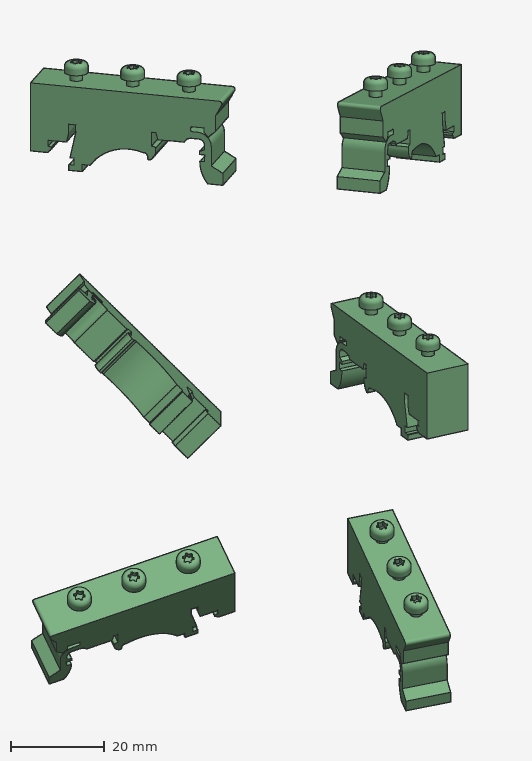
import cadquery as cq
import math

length = 42.75
width = 10.0
total_height = 22.9
block_height = 18.95

screw_count = 3
first_screw_x = 8.7
screw_pitch = 12.53
shank_diameter = 2.75
head_diameter = 5.15
head_gap = 1.65
head_rim_height = 1.2

lobe_count = 6
lobe_tip_radius = 1.25
lobe_shoulder_radius = 1.2
lobe_valley_radius = 0.9
lobe_half_angle = 9.0
recess_depth = 1.2

slot_roof_z = 10.45
notch_top_z = 2.85
underside_z = 8.9

lever_thickness = 1.55
lever_outer_x = 40.2
lever_top_z = 11.45
lever_inner_x = lever_outer_x - lever_thickness
lever_under_z = lever_top_z - lever_thickness
bend_outer_radius = 3.0
bend_inner_radius = 1.25

stop_x = 38.5


def polar(radius, degrees, center=(0, 0)):
    """Point at the given radius and angle around a center."""
    angle = math.radians(degrees)
    return (center[0] + radius * math.cos(angle), center[1] + radius * math.sin(angle))


def line_through(path, points):
    """Extend the path with straight lines through the points."""
    for x, z in points:
        path = path.lineTo(x, z)
    return path


def left_hook(path):
    """Left wall, and the fixed hook at its foot that faces the rail recess."""
    base_z = 3.55
    recess_x = 3.95
    recess_roof_z = 6.33
    nose_x = 4.65
    nose_bevel = 0.85
    nose_top_z = 4.87
    nose_slope = 0.15
    return line_through(path, [
        (0, base_z),
        (nose_x - nose_bevel, base_z),
        (nose_x, base_z + nose_bevel),
        (nose_x, nose_top_z),
        (recess_x, nose_top_z + nose_slope),
        (recess_x, recess_roof_z),
        (8.0, recess_roof_z),
    ])


def slanted_slot(path):
    """Slot between the hook and the middle web, leaning left towards its mouth."""
    left_x = 8.5
    right_x = 10.05
    return line_through(path, [
        (left_x, 8.42),
        (left_x, slot_roof_z),
        (right_x, slot_roof_z),
        (right_x, 8.7),
        (8.75, notch_top_z),
    ])


def web_foot(path):
    """Notched foot of the middle web, resting on Z = 0."""
    notch_x = 9.65
    toe_x = 8.5
    toe_height = 1.33
    toe_bevel = 0.13
    heel_x = 11.5
    step_z = 1.62
    return line_through(path, [
        (notch_x, notch_top_z),
        (notch_x, toe_height),
        (toe_x + toe_bevel, toe_height),
        (toe_x, toe_height - toe_bevel),
        (toe_x, 0),
        (heel_x, 0),
        (heel_x, step_z),
        (13.25, step_z),
    ])


def arch(path):
    """Shallow circular arch under the middle web."""
    radius = 10.47
    crown_x = 21.9
    crown_z = 6.1
    center = (crown_x, crown_z - radius)
    start_angle = 142.6
    end_angle = 72.5
    start = polar(radius, start_angle, center)
    middle = polar(radius, (start_angle + end_angle) / 2, center)
    end = polar(radius, end_angle, center)
    return path.lineTo(*start).threePointArc(middle, end)


def hanging_latch(path):
    """Rounded latch hanging from the right end of the arch."""
    neck_x = 26.05
    tip_z = 4.15
    nose_x = 27.85
    root_x = 26.95
    path = path.lineTo(25.4, 5.65)
    path = path.threePointArc((25.8, 5.35), (neck_x, 4.87))
    path = path.lineTo(neck_x, 4.5)
    path = path.threePointArc((26.1, 4.28), (26.35, tip_z))
    path = path.lineTo(26.68, tip_z)
    path = path.threePointArc((27.5, 5.05), (nose_x, 6.1))
    path = path.lineTo(nose_x, 6.93)
    path = path.threePointArc((27.7, 7.1), (27.5, 7.22))
    return line_through(path, [(root_x, 7.35), (root_x, slot_roof_z)])


def underside(path):
    """Slot beside the latch, then the flat underside up to the lever pocket."""
    path = line_through(path, [(27.87, slot_roof_z), (28.3, underside_z), (34.15, underside_z)])
    roof_start = (35.7, lever_under_z)
    return path.threePointArc((34.8, 9.6), roof_start)


def lever_inside(path):
    """Inner side of the spring lever, with its catch rib and curved foot."""
    rib_x = 37.55
    rib_bottom_z = 6.45
    foot_x = 37.6
    bend_x = lever_inner_x - bend_inner_radius
    bend_z = lever_under_z - bend_inner_radius
    bend_middle = polar(bend_inner_radius, 45, (bend_x, bend_z))
    path = path.lineTo(bend_x, lever_under_z)
    path = path.threePointArc(bend_middle, (lever_inner_x, bend_z))
    path = line_through(path, [
        (lever_inner_x, 7.65),
        (rib_x, 7.15),
        (rib_x, rib_bottom_z),
        (38.77, rib_bottom_z),
        (lever_inner_x, 5.0),
        (foot_x, 4.87),
    ])
    return path.threePointArc((38.15, 2.15), (39.37, 0))


def lever_outside(path):
    """Outer side of the spring lever, from its release tab up around the bend."""
    bend_x = lever_outer_x - bend_outer_radius
    bend_z = lever_top_z - bend_outer_radius
    bend_middle = polar(bend_outer_radius, 45, (bend_x, bend_z))
    path = line_through(path, [
        (length, 0),
        (length, 2.75),
        (lever_outer_x, 4.15),
        (lever_outer_x, bend_z),
    ])
    return path.threePointArc(bend_middle, (bend_x, lever_top_z))


def lever_slot(path):
    """Relief slot above the lever, with rounded corners at its closed end."""
    end_x = 35.6
    roof_z = 12.55
    radius = 0.3
    corner_x = end_x + radius
    lower_center = (corner_x, lever_top_z + radius)
    upper_center = (corner_x, roof_z - radius)
    path = path.lineTo(corner_x, lever_top_z)
    path = path.threePointArc(polar(radius, 225, lower_center), (end_x, lever_top_z + radius))
    path = path.lineTo(end_x, roof_z - radius)
    path = path.threePointArc(polar(radius, 135, upper_center), (corner_x, roof_z))
    return path.lineTo(stop_x, roof_z)


def right_end(path):
    """Pointed stop beside the lever and the overhanging lip with its rounded nose."""
    wall_x = 41.1
    lip_x = 42.55
    lip_radius = 0.65
    undercut_angle = -30
    lip_center = (lip_x - lip_radius, block_height - lip_radius)
    path = line_through(path, [
        (stop_x, 11.6),
        (39.55, 10.55),
        (wall_x, 11.95),
        (wall_x, 15.5),
        polar(lip_radius, undercut_angle, lip_center),
    ])
    return path.threePointArc(polar(lip_radius, 30, lip_center), (lip_center[0], block_height))


def make_housing():
    """Housing: one constant outline in XZ, extruded symmetrically about Y = 0."""
    path = cq.Workplane("XZ").moveTo(0, block_height)
    stretches = [
        left_hook, slanted_slot, web_foot, arch, hanging_latch, underside,
        lever_inside, lever_outside, lever_slot, right_end,
    ]
    for stretch in stretches:
        path = stretch(path)
    return path.close().extrude(width / 2, both=True)


def make_drive_recess():
    """Cutter for the six-lobe recess, open at the top of the head."""
    lobe_pitch = 360 / lobe_count
    first_lobe = 90.0
    path = cq.Workplane("XY", origin=(0, 0, total_height - recess_depth))
    path = path.moveTo(*polar(lobe_shoulder_radius, first_lobe - lobe_half_angle))
    for index in range(lobe_count):
        tip = first_lobe + index * lobe_pitch
        lobe_end = polar(lobe_shoulder_radius, tip + lobe_half_angle)
        next_lobe = polar(lobe_shoulder_radius, tip + lobe_pitch - lobe_half_angle)
        path = path.threePointArc(polar(lobe_tip_radius, tip), lobe_end)
        path = path.threePointArc(polar(lobe_valley_radius, tip + lobe_pitch / 2), next_lobe)
    return path.close().extrude(recess_depth)


def make_screw(x):
    """Pan-head screw standing on the top face of the housing at the given X."""
    shank_radius = shank_diameter / 2
    head_radius = head_diameter / 2
    head_bottom_z = block_height + head_gap
    rim_top_z = head_bottom_z + head_rim_height
    rounding = total_height - rim_top_z
    crown_radius = head_radius - rounding
    rounding_middle = polar(rounding, 45, (crown_radius, rim_top_z))
    turned = (
        cq.Workplane("XZ")
        .moveTo(0, block_height)
        .lineTo(shank_radius, block_height)
        .lineTo(shank_radius, head_bottom_z)
        .lineTo(head_radius, head_bottom_z)
        .lineTo(head_radius, rim_top_z)
        .threePointArc(rounding_middle, (crown_radius, total_height))
        .lineTo(0, total_height)
        .close()
        .revolve(360, (0, 0, 0), (0, 1, 0))
    )
    return turned.cut(make_drive_recess()).translate((x, 0, 0))


housing = make_housing()
screws = [make_screw(first_screw_x + index * screw_pitch) for index in range(screw_count)]

result = cq.Compound.makeCompound([housing.val(), *[screw.val() for screw in screws]])